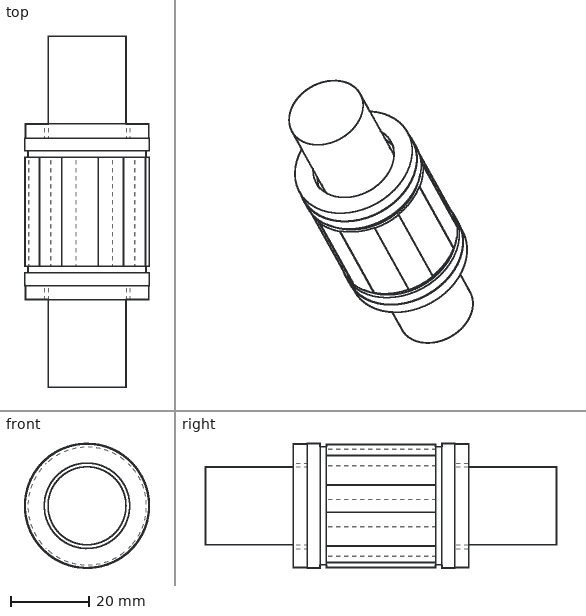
import cadquery as cq

shaft_diameter = 20.0
shaft_length = 90.0

bushing_diameter = 32.0
bushing_length = 45.0

relief_depth = 0.15
relieved_diameter = bushing_diameter - 2 * relief_depth

groove_diameter = 30.3
groove_width = 1.6
groove_outer_span = 31.2

seal_bore_diameter = 21.9
seal_length = 3.6

track_count = 6
track_pitch = 360.0 / track_count
plate_angle = 25.5
first_plate_center = 23.2
plate_length = groove_outer_span - 2 * groove_width

seal_start = bushing_length / 2 - seal_length
groove_start = plate_length / 2


def cylinder(diameter, length, y_start):
    """Solid cylinder along +Y that starts at y_start."""
    return cq.Workplane("XZ", origin=(0, y_start, 0)).circle(diameter / 2).extrude(-length)


def centered_cylinder(diameter, length):
    return cylinder(diameter, length, -length / 2)


def tube(outer_diameter, inner_diameter, length, y_start):
    return cylinder(outer_diameter, length, y_start).cut(cylinder(inner_diameter, length, y_start))


def both_ends(body):
    """The given +Y end feature together with its mirror image at the -Y end."""
    return body.union(body.mirror("XZ"))


def relief_between_plates(start_angle):
    """Thin shell sector removed between two neighbouring plates."""
    middle_radius = (bushing_diameter - relief_depth) / 2
    return (
        cq.Workplane("YZ")
        .center(0, middle_radius)
        .rect(plate_length, relief_depth)
        .revolve(track_pitch - plate_angle, (0, -middle_radius), (1, -middle_radius))
        .rotate((0, 0, 0), (0, 1, 0), start_angle)
    )


def make_bushing():
    bushing = centered_cylinder(bushing_diameter, bushing_length)
    grooves = both_ends(tube(bushing_diameter, groove_diameter, groove_width, groove_start))
    seal_reliefs = both_ends(tube(bushing_diameter, relieved_diameter, seal_length, seal_start))
    seal_bores = both_ends(cylinder(seal_bore_diameter, seal_length, seal_start))
    bushing = bushing.cut(grooves).cut(seal_reliefs).cut(seal_bores)

    first_relief_start = first_plate_center + plate_angle / 2
    for index in range(track_count):
        bushing = bushing.cut(relief_between_plates(first_relief_start + index * track_pitch))
    return bushing


shaft = centered_cylinder(shaft_diameter, shaft_length)
result = make_bushing().union(shaft)